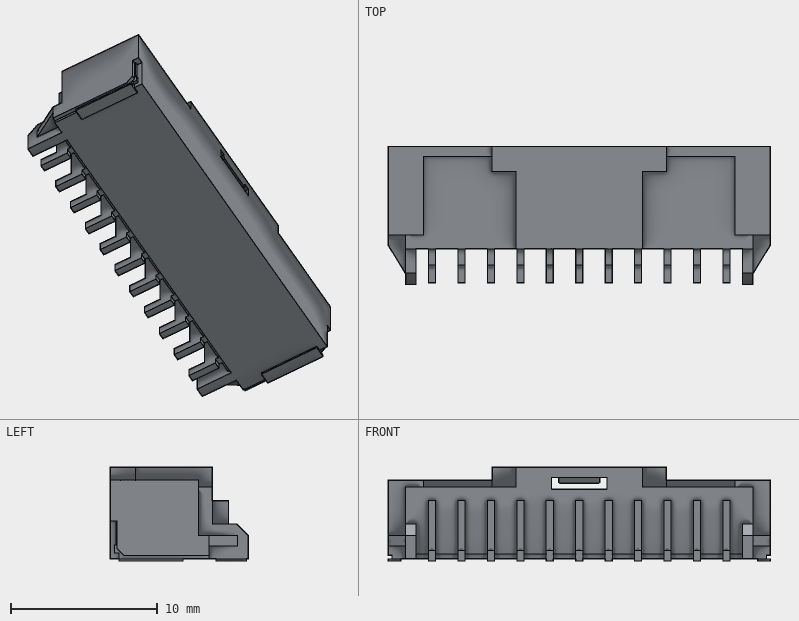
import cadquery as cq

LENGTH = 26.0
DEPTH = 9.4
HEIGHT = 6.4
HALF_LENGTH = LENGTH / 2

STANDOFF = 0.15
SHELL_TOP = 5.5
SHELL_DEPTH = 6.03
CORE_HALF_WIDTH = 11.8
CORE_DEPTH = 6.97
CORE_TOP = 5.05
CORE_LIP_HEIGHT = 0.3
CORE_LIP_BOTTOM = STANDOFF + CORE_LIP_HEIGHT
CORE_LIP_DEPTH = 0.23

RECESS_HALF_WIDTH = 10.58
REAR_RIM = 0.7

KEY_HALF_WIDTH = 4.3
KEY_WING_HALF_WIDTH = 5.93
KEY_WING_DEPTH = 1.72

WINDOW_HALF_WIDTH = 1.87
WINDOW_BOTTOM = 4.9
WINDOW_TOP = 5.67
LATCH_HALF_WIDTH = 1.4
LATCH_DROP = 0.4
LATCH_ROOF_DEPTH = 0.2
LATCH_NOSE_DEPTH = 0.25
LATCH_CORNER = 0.08

REBATE_WIDTH = 0.25
REBATE_TOP = 2.73
REBATE_REAR = 0.47
REBATE_BOTTOM = 0.4
REBATE_CHAMFER = 0.47

RELIEF_WIDTH = 0.47
RELIEF_TOP_DEPTH = 0.4
RELIEF_MIDDLE_DEPTH = 0.3
RELIEF_LOWER_STEP = 1.1
RELIEF_FOOT_TOP = 0.55

SHOULDER_DEPTH = 6.73
SHOULDER_TOP = 1.75
WING_BOTTOM = 1.05
WING_DEPTH = 8.68

TAB_THICKNESS = 0.7
TAB_TOP = 2.52
TAB_BEVEL = 0.78
FOOT_WIDTH = 0.85
FOOT_REAR = 0.6
FOOT_LENGTH = 4.37

PIN_COUNT = 11
PIN_PITCH = 2.0
PIN_WIDTH = 0.5
PIN_TOP = 4.1
PIN_STEM_DEPTH = 1.1
PIN_FOOT_HEIGHT = 0.73
PIN_TIP = 9.28
PIN_HEEL = 0.23


def block(x_min, x_max, front, rear, z_min, z_max):
    """Box given by its limits; front and rear are distances from the mating face."""
    size = (x_max - x_min, front - rear, z_max - z_min)
    return cq.Workplane("XY").box(*size, centered=False).translate((x_min, -front, z_min))


def centred_block(half_width, front, rear, z_min, z_max):
    return block(-half_width, half_width, front, rear, z_min, z_max)


def side_profile(points, x_min, thickness):
    """Extrude a closed (Y, Z) outline along +X from x_min."""
    return cq.Workplane("YZ").workplane(offset=x_min).polyline(points).close().extrude(thickness)


def housing():
    shell = centred_block(HALF_LENGTH, SHELL_DEPTH, 0, STANDOFF, SHELL_TOP)
    recess = centred_block(RECESS_HALF_WIDTH, SHELL_DEPTH, REAR_RIM, CORE_TOP, SHELL_TOP)
    core = centred_block(CORE_HALF_WIDTH, CORE_DEPTH, 0, STANDOFF, CORE_TOP)
    lip_relief = centred_block(
        CORE_HALF_WIDTH, CORE_DEPTH, CORE_DEPTH - CORE_LIP_DEPTH, STANDOFF, CORE_LIP_BOTTOM
    )
    return shell.cut(recess).union(core.cut(lip_relief))


def key():
    stem = centred_block(KEY_HALF_WIDTH, CORE_DEPTH, 0, CORE_TOP, HEIGHT)
    wings = centred_block(KEY_WING_HALF_WIDTH, KEY_WING_DEPTH, 0, CORE_TOP, HEIGHT)
    return stem.union(wings)


def window():
    opening = centred_block(WINDOW_HALF_WIDTH, CORE_DEPTH, 0, WINDOW_BOTTOM, WINDOW_TOP)
    ramp = [
        (0, WINDOW_TOP),
        (-LATCH_ROOF_DEPTH, WINDOW_TOP),
        (-LATCH_NOSE_DEPTH, WINDOW_TOP - LATCH_DROP),
        (0, WINDOW_TOP - LATCH_DROP),
    ]
    latch = side_profile(ramp, -LATCH_HALF_WIDTH, 2 * LATCH_HALF_WIDTH)
    latch = latch.faces("<Z").edges("|Y").chamfer(LATCH_CORNER)
    return opening.cut(latch)


def side_rebate():
    outline = [
        (0, STANDOFF),
        (0, REBATE_TOP),
        (-REBATE_REAR, REBATE_TOP),
        (-REBATE_REAR, REBATE_BOTTOM + REBATE_CHAMFER),
        (-REBATE_REAR - REBATE_CHAMFER, REBATE_BOTTOM),
        (-SHOULDER_DEPTH, REBATE_BOTTOM),
        (-SHOULDER_DEPTH, STANDOFF),
    ]
    return side_profile(outline, -HALF_LENGTH, REBATE_WIDTH)


def rear_relief():
    outline = [
        (0, STANDOFF),
        (0, REBATE_TOP),
        (-RELIEF_TOP_DEPTH, REBATE_TOP),
        (-RELIEF_TOP_DEPTH, RELIEF_LOWER_STEP),
        (-RELIEF_MIDDLE_DEPTH, RELIEF_LOWER_STEP),
        (-RELIEF_MIDDLE_DEPTH, RELIEF_FOOT_TOP),
        (-FOOT_REAR, RELIEF_FOOT_TOP),
        (-FOOT_REAR, STANDOFF),
    ]
    return side_profile(outline, -HALF_LENGTH, RELIEF_WIDTH)


def shoulder():
    base = block(-HALF_LENGTH, -CORE_HALF_WIDTH, SHOULDER_DEPTH, SHELL_DEPTH, STANDOFF, SHOULDER_TOP)
    wing = (
        cq.Workplane("XY")
        .workplane(offset=WING_BOTTOM)
        .moveTo(-HALF_LENGTH, -SHELL_DEPTH)
        .lineTo(-HALF_LENGTH, -SHOULDER_DEPTH)
        .lineTo(-CORE_HALF_WIDTH, -WING_DEPTH)
        .lineTo(-CORE_HALF_WIDTH, -SHELL_DEPTH)
        .close()
        .extrude(SHOULDER_TOP - WING_BOTTOM)
    )
    return base.union(wing)


def solder_tab():
    outline = [
        (-SHELL_DEPTH, STANDOFF),
        (-SHELL_DEPTH, TAB_TOP),
        (-DEPTH + TAB_BEVEL, TAB_TOP),
        (-DEPTH, TAB_TOP - TAB_BEVEL),
        (-DEPTH, STANDOFF),
    ]
    return side_profile(outline, -CORE_HALF_WIDTH, TAB_THICKNESS)


def side_foot():
    return block(
        -HALF_LENGTH, -HALF_LENGTH + FOOT_WIDTH, FOOT_REAR + FOOT_LENGTH, FOOT_REAR, 0, STANDOFF
    )


def pin(x_center):
    stem_front = CORE_DEPTH + PIN_STEM_DEPTH
    heel = CORE_DEPTH + PIN_HEEL
    outline = [
        (-CORE_DEPTH, PIN_TOP),
        (-stem_front, PIN_TOP),
        (-stem_front, PIN_FOOT_HEIGHT),
        (-PIN_TIP, PIN_FOOT_HEIGHT),
        (-PIN_TIP, 0),
        (-heel, 0),
        (-heel, CORE_LIP_BOTTOM),
        (-CORE_DEPTH, CORE_LIP_BOTTOM),
    ]
    return side_profile(outline, x_center - PIN_WIDTH / 2, PIN_WIDTH)


def both_ends(left_feature):
    return left_feature.union(left_feature.mirror("YZ"))


result = housing().union(key()).cut(window())
result = result.union(both_ends(shoulder()))
result = result.cut(both_ends(side_rebate())).cut(both_ends(rear_relief()))
result = result.union(both_ends(solder_tab())).union(both_ends(side_foot()))

first_pin_x = -PIN_PITCH * (PIN_COUNT - 1) / 2
for index in range(PIN_COUNT):
    result = result.union(pin(first_pin_x + index * PIN_PITCH))